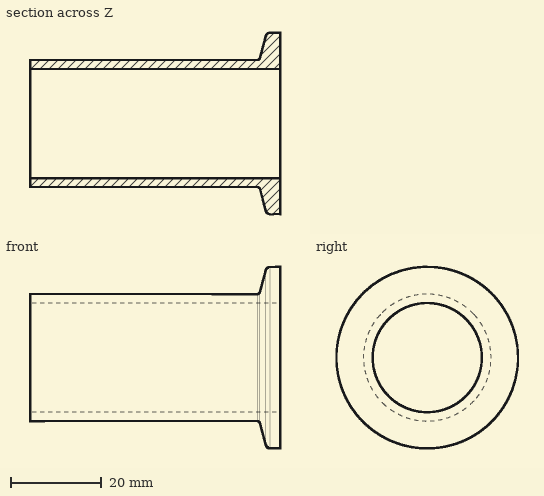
import cadquery as cq
import math

length = 55.0
tube_outer_radius = 28.0 / 2
bore_radius = 24.0 / 2
flange_radius = 40.0 / 2

rim_width = 3.0
cone_angle = 15.0
root_fillet = 0.5
rim_fillet = 1.0

cone_run = (flange_radius - tube_outer_radius) * math.tan(math.radians(cone_angle))
rim_start = length - rim_width
cone_start = rim_start - cone_run


def at_circle(x, radius):
    """Select the circular edge of the given radius around the X axis at x."""
    margin = 0.05
    return cq.selectors.BoxSelector(
        (x - margin, -radius - margin, -radius - margin),
        (x + margin, radius + margin, radius + margin),
        boundingbox=True,
    )


body = (
    cq.Workplane("XY")
    .moveTo(0, bore_radius)
    .lineTo(0, tube_outer_radius)
    .lineTo(cone_start, tube_outer_radius)
    .lineTo(rim_start, flange_radius)
    .lineTo(length, flange_radius)
    .lineTo(length, bore_radius)
    .close()
    .revolve(360, (0, 0, 0), (1, 0, 0))
)

body = body.edges(at_circle(cone_start, tube_outer_radius)).fillet(root_fillet)
result = body.edges(at_circle(rim_start, flange_radius)).fillet(rim_fillet)